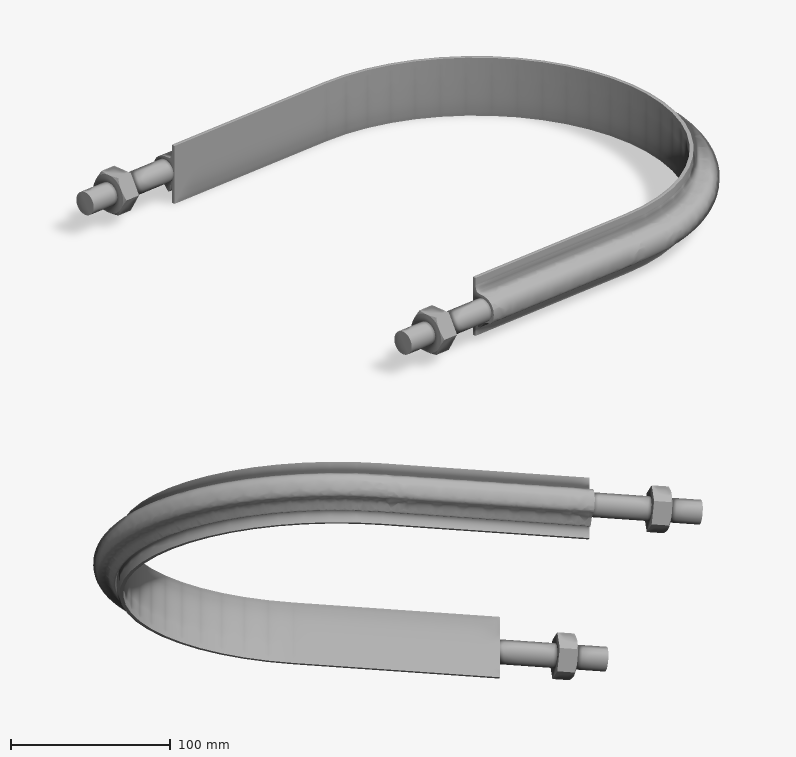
import cadquery as cq
import math

total_width = 316.0
total_length = 355.0
strip_height = 40.0
rod_diameter = 15.5
casing_wall = 2.0
strip_thickness = 2.5
strip_outer_x = 6.5
flare_start_z = 15.0
flare_root_z = 10.5
flare_root_depth = 1.5
rod_protrusion = 69.5
nut_across_flats = 26.0
nut_height = 12.0
nut_end_distance = 20.5
nut_chamfer_angle = 30.0

rod_radius = rod_diameter / 2
casing_radius = rod_radius + casing_wall
nut_across_corners = nut_across_flats / math.cos(math.pi / 6)
bend_radius = (total_width - nut_across_corners) / 2
rod_end_y = bend_radius + casing_radius - total_length
liner_end_y = rod_end_y + rod_protrusion
nut_face_y = rod_end_y + nut_end_distance


def sweep_around_u(section, start_y):
    """Carry an XZ section along the left leg, around the bend and down the right leg."""
    path = (
        cq.Workplane("XY")
        .moveTo(-bend_radius, start_y)
        .lineTo(-bend_radius, 0)
        .threePointArc((0, bend_radius), (bend_radius, 0))
        .lineTo(bend_radius, start_y)
    )
    return section.sweep(path)


def make_rod():
    """Round bar bent into a U."""
    section = cq.Workplane("XZ", origin=(-bend_radius, rod_end_y, 0)).circle(rod_radius)
    return sweep_around_u(section, rod_end_y)


def make_liner():
    """Flat strip inside the bend, with a flared casing enclosing the rod."""
    strip_inner_x = strip_outer_x + strip_thickness
    half_height = strip_height / 2
    shoulder = casing_radius * math.sin(math.pi / 4)
    upper_curve = [
        (strip_outer_x, flare_start_z),
        (strip_outer_x - flare_root_depth, flare_root_z),
        (0, casing_radius),
        (-shoulder, shoulder),
    ]
    lower_curve = [(x, -z) for x, z in reversed(upper_curve)]
    casing_curve = upper_curve + [(-casing_radius, 0)] + lower_curve
    section = (
        cq.Workplane("XZ", origin=(-bend_radius, liner_end_y, 0))
        .moveTo(strip_inner_x, -half_height)
        .lineTo(strip_inner_x, half_height)
        .lineTo(strip_outer_x, half_height)
        .lineTo(strip_outer_x, flare_start_z)
        .spline(casing_curve[1:], tangents=[(0, -1), (0, -1)], includeCurrent=True)
        .lineTo(strip_outer_x, -half_height)
        .close()
        .moveTo(0, 0)
        .circle(rod_radius)
    )
    return sweep_around_u(section, liner_end_y)


def make_nut(centre_x):
    """Hexagonal nut with conically chamfered corners on its outer face."""
    face_plane = cq.Plane(origin=(centre_x, nut_face_y, 0), xDir=(1, 0, 0), normal=(0, 1, 0))
    hexagon = cq.Workplane(face_plane).polygon(6, nut_across_corners).extrude(nut_height)
    corner_radius = nut_across_corners / 2
    face_radius = nut_across_flats / 2
    chamfer_depth = (corner_radius - face_radius) * math.tan(math.radians(nut_chamfer_angle))
    envelope = (
        cq.Workplane("XY", origin=(centre_x, nut_face_y, 0))
        .lineTo(face_radius, 0)
        .lineTo(corner_radius, chamfer_depth)
        .lineTo(corner_radius, nut_height)
        .lineTo(0, nut_height)
        .close()
        .revolve(360, (0, 0, 0), (0, 1, 0))
    )
    bore = cq.Workplane(face_plane).circle(rod_radius).extrude(nut_height)
    return hexagon.intersect(envelope).cut(bore)


rod = make_rod()
liner = make_liner()
nuts = [make_nut(side * bend_radius) for side in (-1, 1)]

result = cq.Compound.makeCompound([rod.val(), liner.val(), *[nut.val() for nut in nuts]])